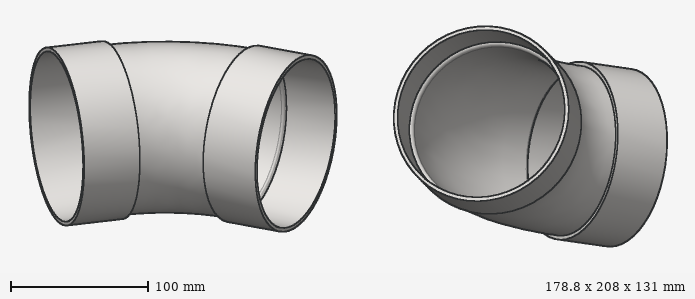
import cadquery as cq
import math

socket_diameter = 131.0
pipe_diameter = 125.0
socket_bore = 125.0
pipe_bore = 119.2
lip_radius = (socket_bore - pipe_bore) / 2
socket_length = 42.7
socket_depth = socket_length - lip_radius
bend_angle = 45.0
width_x = 178.8

angle = math.radians(bend_angle)
end_center_x = width_x - socket_diameter / 2 * (1 + math.cos(angle))
bend_radius = (end_center_x - socket_length * math.sin(angle)) / (1 - math.cos(angle))

inlet_mouth = cq.Plane(origin=(0, 0, 0), xDir=(1, 0, 0), normal=(0, 1, 0))
bend_start = cq.Plane(origin=(0, socket_length, 0), xDir=(1, 0, 0), normal=(0, 1, 0))

outlet_center_y = socket_length * (1 + math.cos(angle)) + bend_radius * math.sin(angle)
outlet_mouth = cq.Plane(
    origin=(end_center_x, outlet_center_y, 0),
    xDir=(0, 0, 1),
    normal=(-math.sin(angle), -math.cos(angle), 0),
)


def cylinder(mouth, diameter, length):
    """Cylinder running from a socket mouth into the elbow."""
    return cq.Workplane(mouth).circle(diameter / 2).extrude(length)


def bend(diameter):
    """Toroidal stretch turning from +Y toward +X between the sockets."""
    return (
        cq.Workplane(bend_start)
        .circle(diameter / 2)
        .revolve(bend_angle, (bend_radius, 0, 0), (bend_radius, 1, 0))
    )


def socket_passage(mouth):
    """Socket bore ending at a stop shoulder whose rounded lip blends into the pipe bore."""
    bore_radius = socket_bore / 2
    lip_mid_offset = lip_radius * math.sqrt(0.5)
    lip_middle = (bore_radius - lip_mid_offset, socket_length - lip_mid_offset)
    half_section = cq.Plane(origin=mouth.origin, xDir=mouth.xDir, normal=mouth.xDir.cross(mouth.zDir))
    return (
        cq.Workplane(half_section)
        .lineTo(bore_radius, 0)
        .lineTo(bore_radius, socket_depth)
        .threePointArc(lip_middle, (pipe_bore / 2, socket_length))
        .lineTo(0, socket_length)
        .close()
        .revolve(360, (0, 0, 0), (0, 1, 0))
    )


body = bend(pipe_diameter)
passage = bend(pipe_bore)
for mouth in (inlet_mouth, outlet_mouth):
    body = body.union(cylinder(mouth, socket_diameter, socket_length))
    passage = passage.union(socket_passage(mouth))

result = body.cut(passage)